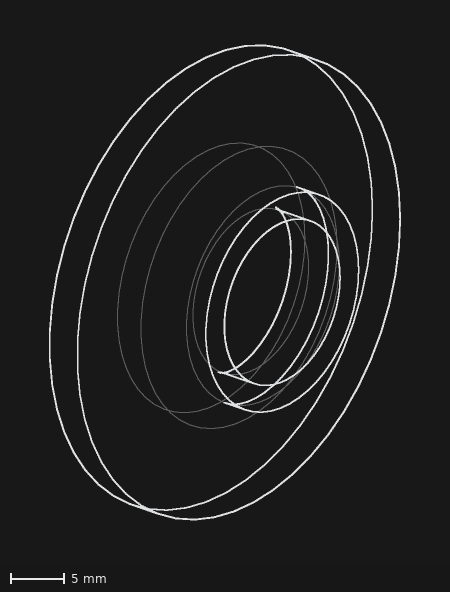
import cadquery as cq

flange_diameter = 45.0
flange_thickness = 3.5

total_length = 9.0
collar_diameter = 21.3
collar_root_radius = 3.0

bore_diameter = 16.1
mouth_radius = 5.0

flange_radius = flange_diameter / 2
collar_radius = collar_diameter / 2
bore_radius = bore_diameter / 2


def half_section():
    """Half section of the ring: X along the axis, Y as the distance from it."""
    return (
        cq.Workplane("XY")
        .moveTo(0, bore_radius + mouth_radius)
        .lineTo(0, flange_radius)
        .lineTo(flange_thickness, flange_radius)
        .lineTo(flange_thickness, collar_radius + collar_root_radius)
        .radiusArc((flange_thickness + collar_root_radius, collar_radius), -collar_root_radius)
        .lineTo(total_length, collar_radius)
        .lineTo(total_length, bore_radius)
        .lineTo(mouth_radius, bore_radius)
        .radiusArc((0, bore_radius + mouth_radius), mouth_radius)
        .close()
    )


result = half_section().revolve(360, (0, 0, 0), (1, 0, 0))